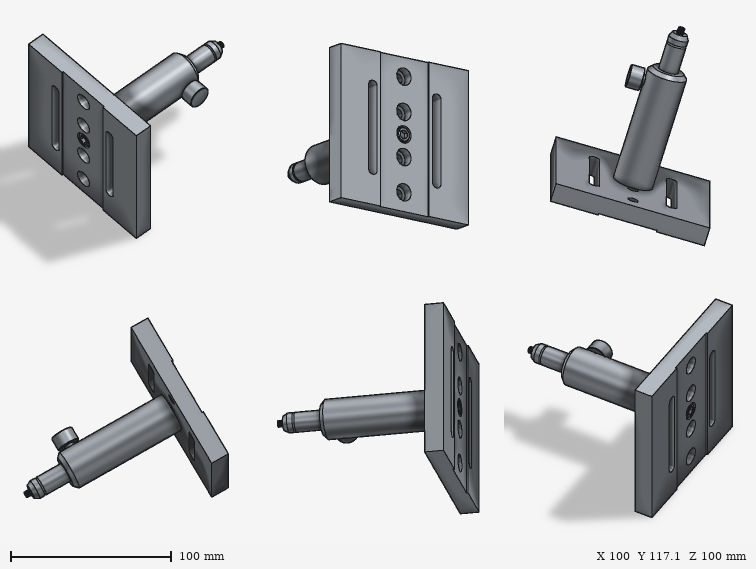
import cadquery as cq
import math


PLATE_SIDE = 100.0
PLATE_THICKNESS = 12.0
RELIEF_WIDTH = 37.9
RELIEF_DEPTH = 0.9
SLOT_OFFSET = 25.0
SLOT_LENGTH = 60.9
SLOT_WIDTH = 6.8
BOLT_HOLE_DIAMETER = 6.5
COUNTERBORE_DIAMETER = 11.1
COUNTERBORE_DEPTH = 6.2
INNER_HOLE_OFFSET = 14.6
OUTER_HOLE_OFFSET = 37.5

HOLDER_DIAMETER = 25.4
HOLDER_LENGTH = 76.2
HOLDER_CHAMFER = 2.7
HOLDER_FLOOR = 11.7
BORE_DIAMETER = 12.8

POST_DIAMETER = 12.6
POST_TIP_DIAMETER = 9.4
POST_TAPER_LENGTH = 3.0
GROOVE_WIDTH = 1.2
GROOVE_DEPTH = 0.5
GROOVE_FROM_TIP = 7.1

OVERALL_LENGTH = 117.1
STUD_EXPOSED = 3.9
STUD_EMBEDDED = 7.0
STUD_DIAMETER = 4.2
STUD_ROOT_DIAMETER = 3.3
THREAD_COUNT = 5

THUMBSCREW_FROM_HOLDER_END = 10.5
KNOB_DIAMETER = 14.6
KNOB_INNER_X = 14.0
KNOB_OUTER_X = 22.8
KNOB_CHAMFER = 0.4
NECK_DIAMETER = 6.8

HEAD_DIAMETER = 9.5
HEAD_CHAMFER = 0.6
SHANK_DIAMETER = 6.3
SHANK_IN_HOLDER = 9.4
HEX_ACROSS_FLATS = 5.2
HEX_DEPTH = 2.9
COUNTERSINK_DIAMETER = 5.6
COUNTERSINK_DEPTH = 0.4

SEAT_Y = RELIEF_DEPTH + COUNTERBORE_DEPTH
HOLDER_END_Y = PLATE_THICKNESS + HOLDER_LENGTH
BORE_FLOOR_Y = PLATE_THICKNESS + HOLDER_FLOOR
POST_TIP_Y = OVERALL_LENGTH - STUD_EXPOSED
GROOVE_Y = POST_TIP_Y - GROOVE_FROM_TIP
STUD_BASE_Y = POST_TIP_Y - STUD_EMBEDDED
SHANK_END_Y = PLATE_THICKNESS + SHANK_IN_HOLDER
THUMBSCREW_Y = HOLDER_END_Y - THUMBSCREW_FROM_HOLDER_END


def cylinder_along_y(diameter, start_y, end_y, z=0.0):
    """Cylinder parallel to Y, centred on X = 0 at height z."""
    solid = cq.Solid.makeCylinder(diameter / 2, end_y - start_y, cq.Vector(0, start_y, z), cq.Vector(0, 1, 0))
    return cq.Workplane(obj=solid)


def cylinder_along_x(diameter, start_x, end_x):
    """Cylinder on the thumbscrew axis."""
    start = cq.Vector(start_x, THUMBSCREW_Y, 0)
    return cq.Workplane(obj=cq.Solid.makeCylinder(diameter / 2, end_x - start_x, start, cq.Vector(1, 0, 0)))


def revolve_about_y(outline):
    """Solid of revolution of a closed outline drawn as (radius, Y)."""
    return outline.revolve(360, (0, 0, 0), (0, 1, 0))


def make_plate():
    plate = cq.Workplane().box(PLATE_SIDE, PLATE_THICKNESS, PLATE_SIDE).translate((0, PLATE_THICKNESS / 2, 0))
    relief = cq.Workplane().box(RELIEF_WIDTH, 2 * RELIEF_DEPTH, PLATE_SIDE)
    slots = (
        cq.Workplane("XZ")
        .pushPoints([(-SLOT_OFFSET, 0), (SLOT_OFFSET, 0)])
        .slot2D(SLOT_LENGTH, SLOT_WIDTH, 90)
        .extrude(-PLATE_THICKNESS)
    )
    plate = plate.cut(relief).cut(slots)
    for z in (-OUTER_HOLE_OFFSET, -INNER_HOLE_OFFSET, 0, INNER_HOLE_OFFSET, OUTER_HOLE_OFFSET):
        plate = plate.cut(cylinder_along_y(BOLT_HOLE_DIAMETER, 0, PLATE_THICKNESS, z))
        plate = plate.cut(cylinder_along_y(COUNTERBORE_DIAMETER, 0, SEAT_Y, z))
    return plate


def make_holder():
    holder = cylinder_along_y(HOLDER_DIAMETER, PLATE_THICKNESS, HOLDER_END_Y)
    holder = holder.faces(">Y").chamfer(HOLDER_CHAMFER)
    bore = cylinder_along_y(BORE_DIAMETER, BORE_FLOOR_Y, HOLDER_END_Y)
    screw_hole = cylinder_along_y(SHANK_DIAMETER, PLATE_THICKNESS, SHANK_END_Y)
    thumbscrew_hole = cylinder_along_x(NECK_DIAMETER, 0, HOLDER_DIAMETER / 2)
    return holder.cut(bore).cut(screw_hole).cut(thumbscrew_hole)


def make_post():
    radius = POST_DIAMETER / 2
    outline = (
        cq.Workplane("XY")
        .moveTo(0, BORE_FLOOR_Y)
        .lineTo(radius, BORE_FLOOR_Y)
        .lineTo(radius, GROOVE_Y - GROOVE_WIDTH / 2)
        .threePointArc((radius - GROOVE_DEPTH, GROOVE_Y), (radius, GROOVE_Y + GROOVE_WIDTH / 2))
        .lineTo(radius, POST_TIP_Y - POST_TAPER_LENGTH)
        .lineTo(POST_TIP_DIAMETER / 2, POST_TIP_Y)
        .lineTo(0, POST_TIP_Y)
        .close()
    )
    stud_hole = cylinder_along_y(STUD_DIAMETER, STUD_BASE_Y, POST_TIP_Y)
    return revolve_about_y(outline).cut(stud_hole)


def make_stud():
    """Stud with a plain embedded end and ring-shaped V threads on the exposed end."""
    pitch = STUD_EXPOSED / THREAD_COUNT
    crest = STUD_DIAMETER / 2
    root = STUD_ROOT_DIAMETER / 2
    outline = cq.Workplane("XY").moveTo(0, STUD_BASE_Y).lineTo(crest, STUD_BASE_Y)
    outline = outline.lineTo(crest, POST_TIP_Y).lineTo(root, POST_TIP_Y)
    for turn in range(THREAD_COUNT):
        turn_start = POST_TIP_Y + turn * pitch
        outline = outline.lineTo(crest, turn_start + pitch / 2).lineTo(root, turn_start + pitch)
    return revolve_about_y(outline.lineTo(0, OVERALL_LENGTH).close())


def make_thumbscrew():
    """Knob with a neck that reaches through the holder wall to the post."""
    knob = cylinder_along_x(KNOB_DIAMETER, KNOB_INNER_X, KNOB_OUTER_X).edges().chamfer(KNOB_CHAMFER)
    return knob.union(cylinder_along_x(NECK_DIAMETER, POST_DIAMETER / 2, KNOB_INNER_X))


def make_cap_screw():
    head = cylinder_along_y(HEAD_DIAMETER, RELIEF_DEPTH, SEAT_Y).faces("<Y").chamfer(HEAD_CHAMFER)
    shank = cylinder_along_y(SHANK_DIAMETER, SEAT_Y, SHANK_END_Y)
    across_corners = HEX_ACROSS_FLATS / math.cos(math.pi / 6)
    socket = (
        cq.Workplane("XZ", origin=(0, RELIEF_DEPTH, 0))
        .transformed(rotate=(0, 0, 90))
        .polygon(6, across_corners)
        .extrude(-HEX_DEPTH)
    )
    countersink = cq.Workplane(
        obj=cq.Solid.makeCone(
            COUNTERSINK_DIAMETER / 2,
            COUNTERSINK_DIAMETER / 2 - COUNTERSINK_DEPTH,
            COUNTERSINK_DEPTH,
            cq.Vector(0, RELIEF_DEPTH, 0),
            cq.Vector(0, 1, 0),
        )
    )
    return head.union(shank).cut(socket).cut(countersink)


plate = make_plate()
holder = make_holder()
post = make_post()
stud = make_stud()
thumbscrew = make_thumbscrew()
cap_screw = make_cap_screw()

result = cq.Compound.makeCompound(
    [plate.val(), holder.val(), post.val(), stud.val(), thumbscrew.val(), cap_screw.val()]
)